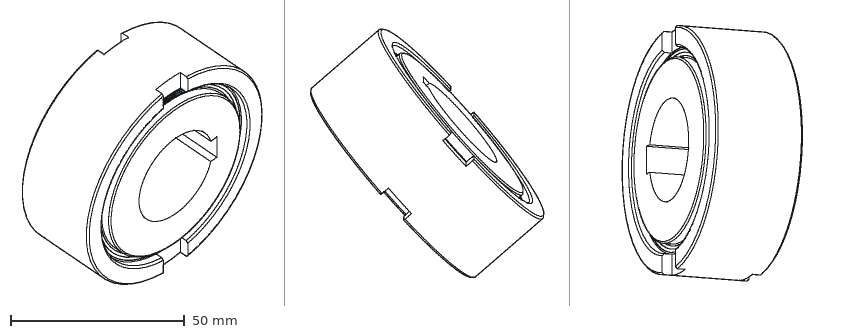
import cadquery as cq

width = 27.0
outer_diameter = 72.0
bore_diameter = 29.95
edge_chamfer = 0.6

groove_outer_radius = 29.9
groove_inner_radius = 26.9
rim_depth = 2.9
middle_depth = 3.0
inner_depth = 3.2
gap_depth = 3.3
rim_inner_radius = 29.4
middle_inner_radius = 28.45
gap_outer_radius = 27.5
lip_outer_chamfer = 0.65
lip_inner_chamfer = 0.5

keyway_width = 8.1
keyway_reach = 16.9
slot_width = 10.0
slot_depth = 3.0

half_width = width / 2
outer_radius = outer_diameter / 2


def make_body():
    """Bored cylinder along X, centred on the origin."""
    return (
        cq.Workplane("YZ")
        .circle(outer_radius)
        .extrude(half_width, both=True)
        .edges()
        .chamfer(edge_chamfer)
        .cut(cq.Workplane("YZ").circle(bore_diameter / 2).extrude(half_width, both=True))
    )


def make_groove():
    """Stepped annular groove with chamfered lips, cut into the -X face."""
    face = -half_width
    profile = [
        (face, groove_outer_radius + lip_outer_chamfer),
        (face + lip_outer_chamfer, groove_outer_radius),
        (face + rim_depth, groove_outer_radius),
        (face + rim_depth, rim_inner_radius),
        (face + middle_depth, rim_inner_radius),
        (face + middle_depth, middle_inner_radius),
        (face + inner_depth, middle_inner_radius),
        (face + inner_depth, gap_outer_radius),
        (face + gap_depth, gap_outer_radius),
        (face + gap_depth, groove_inner_radius),
        (face + lip_inner_chamfer, groove_inner_radius),
        (face, groove_inner_radius - lip_inner_chamfer),
    ]
    return cq.Workplane("XY").polyline(profile).close().revolve(360, (0, 0, 0), (1, 0, 0))


def make_slots():
    """Opposed slots through the outer ring of the -X face, at +Z and -Z."""
    slots = cq.Workplane("XY").box(slot_depth, slot_width, outer_diameter)
    core = cq.Workplane("YZ").circle(groove_outer_radius).extrude(slot_depth, both=True)
    return slots.cut(core).translate((-half_width + slot_depth / 2, 0, 0))


def make_keyway():
    """Keyway along the full bore, on the +Y side."""
    return cq.Workplane("XY").box(width, keyway_reach, keyway_width).translate((0, keyway_reach / 2, 0))


result = make_body().cut(make_keyway())
for end_cut in (make_groove(), make_slots()):
    result = result.cut(end_cut).cut(end_cut.mirror("YZ"))